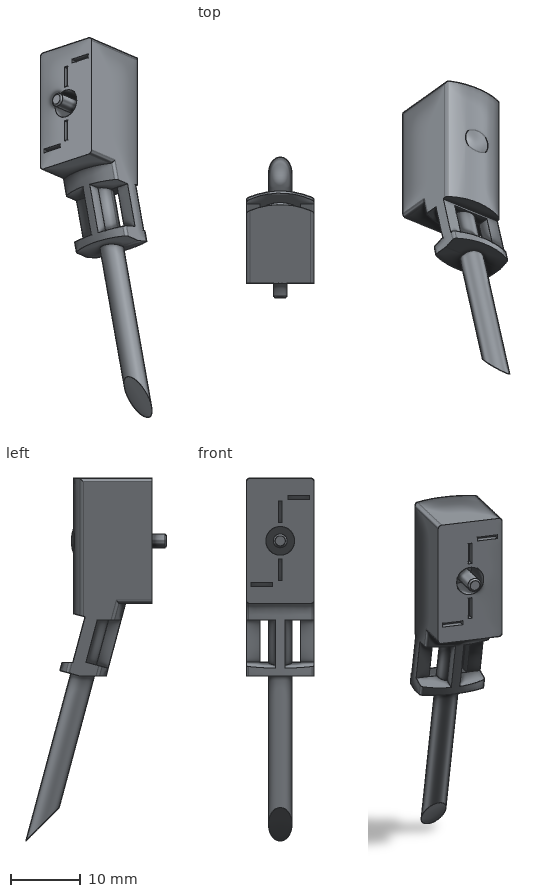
import cadquery as cq
import math

width = 9.7
half_width = width / 2
half_height = 9.0
housing_depth = 11.3
bow_radius = 11.45
edge_radius = 0.5
overall_height = 51.95

pin_diameter = 2.0
pin_length = 2.1
pin_chamfer = 0.25
hole_diameter = 4.1
hole_depth = 5.2
slot_length = 3.05
slot_width = 0.55
slot_depth = 1.05
upright_slot_z = 4.15
level_slot_x = 2.65
level_slot_z = 6.25

button_diameter = 4.0
button_rise = 0.4
button_top_y = 11.6

tilt = 15.0
flange_center = (0, 10.05, -19.45)
neck_back = 1.8
neck_bow = 3.35
flange_thickness = 2.15
flange_top_z = -17.4
flange_bottom_z = -19.4
skirt_offset = 8.35
skirt_height = 4.15
neck_height = 12.45
window_top_z = -11.35
window_width = 5.75
rib_width = 1.3
cable_diameter = 3.4
cable_cut_angle = 45.0

bow_sag = bow_radius - math.sqrt(bow_radius**2 - half_width**2)
margin = 31.2

tilted = cq.Plane(
    origin=flange_center,
    xDir=(1, 0, 0),
    normal=(0, -math.sin(math.radians(tilt)), math.cos(math.radians(tilt))),
)


def block(x_range, y_range, z_range, plane="XY"):
    """Box between the given limits, measured on the axes of a plane."""
    sizes = [high - low for low, high in (x_range, y_range, z_range)]
    start = (x_range[0], y_range[0], z_range[0])
    base = cq.Workplane(plane).workplane(offset=start[2]).center(start[0], start[1])
    return base.box(*sizes, centered=False)


def bowed_outline(plane, front, back):
    """Rectangle in a plane whose back side bulges out to the distance 'back'."""
    return (
        cq.Workplane(plane)
        .moveTo(-half_width, front)
        .lineTo(half_width, front)
        .lineTo(half_width, back - bow_sag)
        .threePointArc((0, back), (-half_width, back - bow_sag))
        .close()
    )


def bow_edges(solid, plane, back, height):
    """The two long edges where a bowed side, extruded from a plane, meets the flat sides."""
    base = cq.Workplane(plane).plane
    corners = [
        base.toWorldCoords((x, back - bow_sag, height)).toTuple()
        for x in (-half_width, half_width)
    ]
    edges = [solid.edges(cq.NearestToPointSelector(corner)).val() for corner in corners]
    return solid.newObject(edges)


def housing():
    """Block with rounded side edges and a skirt hanging behind the neck."""
    full_height = 2 * half_height + skirt_height
    body = bowed_outline(cq.Plane.XY((0, 0, half_height)), 0, housing_depth)
    body = body.extrude(-full_height)
    side_edges = body.edges("|Y and >Z").vals()
    side_edges += bow_edges(body, "XY", housing_depth, half_height - full_height / 2).vals()
    body = body.newObject(side_edges).fillet(edge_radius)

    below_block = block((-margin, margin), (-margin, margin), (-margin, -half_height))
    behind_neck = block((-margin, margin), (0, margin), (skirt_offset, margin), tilted)
    body = body.cut(below_block.cut(behind_neck))

    lower_edges = cq.selectors.BoxSelector(
        (-width, 0, -half_height - edge_radius),
        (width, housing_depth, -half_height + edge_radius),
    )
    return body.edges(lower_edges).edges("|Y").fillet(edge_radius)


def neck():
    """Tilted stem: flat back, bowed front, with the windows around the cable."""
    front_facing = cq.Plane(
        origin=flange_center, xDir=(-1, 0, 0), normal=tilted.zDir.toTuple()
    )
    stem = bowed_outline(front_facing, -neck_back, neck_bow).extrude(neck_height)
    stem = bow_edges(stem, front_facing, neck_bow, neck_height / 2).fillet(edge_radius)

    below_top = block((-margin, margin), (-margin, margin), (-margin, window_top_z))
    front_space = block((-margin, margin), (-margin, 0), (flange_thickness, margin), tilted)
    rib = block((-rib_width / 2, rib_width / 2), (-margin, 0), (0, margin), tilted)
    front_windows = front_space.cut(rib).intersect(below_top)

    inner = (-window_width / 2, window_width / 2)
    back_space = block(inner, (0, margin), (0, margin), tilted)
    level_band = block((-margin, margin), (-margin, margin), (flange_top_z, window_top_z))
    windows = front_windows.union(back_space.intersect(level_band))
    return stem.cut(windows)


def flange():
    """Bowed plate closing the lower end of the neck, its back trimmed level on top."""
    plate = bowed_outline(tilted, 0, neck_bow).extrude(flange_thickness)
    plate = bow_edges(plate, tilted, neck_bow, flange_thickness / 2).fillet(edge_radius)
    above_top = block((-margin, margin), (-margin, margin), (flange_top_z, margin))
    return plate.cut(above_top)


def cable():
    """Round cable from inside the housing to its slanted lower end."""
    rod = (
        cq.Workplane(tilted)
        .workplane(offset=-overall_height)
        .circle(cable_diameter / 2)
        .extrude(overall_height + neck_height)
    )
    lowest_z = half_height - overall_height
    back_line = tilted.toWorldCoords((0, cable_diameter / 2, 0))
    tip_y = back_line.y + (back_line.z - lowest_z) * math.tan(math.radians(tilt))
    slant = math.radians(cable_cut_angle)
    cut_plane = cq.Plane(
        origin=(0, tip_y, lowest_z),
        xDir=(1, 0, 0),
        normal=(0, math.sin(slant), math.cos(slant)),
    )
    beyond = block((-margin, margin), (-margin, margin), (-margin, 0), cut_plane)
    return rod.cut(beyond)


def front_slots():
    """Two upright and two level slots, placed symmetrically about the pin."""
    slots = cq.Workplane("XY")
    for side in (-1, 1):
        upright = cq.Workplane("XY").box(slot_width, 2 * slot_depth, slot_length)
        level = cq.Workplane("XY").box(slot_length, 2 * slot_depth, slot_width)
        slots = slots.add(upright.translate((0, 0, side * upright_slot_z)))
        slots = slots.add(level.translate((side * level_slot_x, 0, side * level_slot_z)))
    return slots.combine()


def pin():
    """Chamfered pin standing on the floor of the front hole."""
    return (
        cq.Workplane("XZ", origin=(0, hole_depth, 0))
        .circle(pin_diameter / 2)
        .extrude(hole_depth + pin_length)
        .faces("<Y")
        .chamfer(pin_chamfer)
    )


def button():
    """Round button with a domed end, rooted inside the bowed back."""
    radius = button_diameter / 2
    rim_y = button_top_y - button_rise
    dome_radius = (radius**2 + button_rise**2) / (2 * button_rise)
    dome = cq.Workplane("XY").sphere(dome_radius)
    dome = dome.translate((0, button_top_y - dome_radius, 0))
    shank = (
        cq.Workplane("XZ", origin=(0, rim_y - bow_sag, 0))
        .circle(radius)
        .extrude(-bow_sag - button_rise)
    )
    return shank.intersect(dome)


stem = neck().union(flange())
below_flange = block((-margin, margin), (-margin, margin), (-2 * margin, flange_bottom_z))
stem = stem.cut(below_flange)

front_hole = cq.Workplane("XZ").circle(hole_diameter / 2).extrude(-hole_depth)

result = (
    housing()
    .union(stem)
    .union(cable())
    .cut(front_hole)
    .cut(front_slots())
    .union(pin())
    .union(button())
)